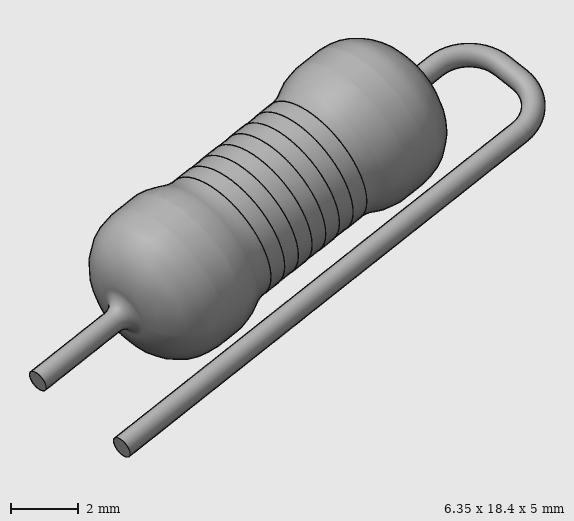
import cadquery as cq
import math


body_length = 12.0
cap_diameter = 5.0
waist_diameter = 4.25
waist_length = 4.0
cap_end_round = 1.75
shoulder_round = 1.5

band_diameter = 4.27
band_count = 4
band_width = waist_length / (2 * band_count - 1)

wire_diameter = 0.7
neck_fillet = 0.5
wire_pitch = 3.5
bend_radius = 1.4
bend_start_y = 7.0
wire_end_y = -9.6

cap_radius = cap_diameter / 2
waist_radius = waist_diameter / 2
wire_radius = wire_diameter / 2
half_length = body_length / 2
half_waist = waist_length / 2


def point_on_circle(center, radius, angle):
    """Point at an angle in radians, measured from the radial direction towards +Y."""
    return (center[0] + radius * math.cos(angle), center[1] + radius * math.sin(angle))


def make_cylinder(diameter, start_y, length):
    """Round bar on the body axis, running towards +Y from start_y."""
    return cq.Workplane("XZ", origin=(0, start_y, 0)).circle(diameter / 2).extrude(-length)


def make_end_cap():
    """Revolve the +Y end of the body, from the waist to the neck around the wire."""
    shoulder_angle = math.acos(1 - (cap_radius - waist_radius) / (2 * shoulder_round))
    shoulder_length = 2 * shoulder_round * math.sin(shoulder_angle)
    cap_start_y = half_waist + shoulder_length
    waist_arc_center = (waist_radius + shoulder_round, half_waist)
    cap_arc_center = (cap_radius - shoulder_round, cap_start_y)
    shoulder_middle = point_on_circle(cap_arc_center, shoulder_round, -shoulder_angle)

    end_arc_center = (cap_radius - cap_end_round, half_length - cap_end_round)
    neck_center_radius = wire_radius + neck_fillet
    center_distance = cap_end_round + neck_fillet
    neck_angle = math.acos((neck_center_radius - end_arc_center[0]) / center_distance)
    neck_center = point_on_circle(end_arc_center, center_distance, neck_angle)
    neck_foot = point_on_circle(end_arc_center, cap_end_round, neck_angle)
    neck_middle_angle = math.pi + neck_angle / 2

    profile = (
        cq.Workplane("XY")
        .moveTo(0, half_waist)
        .lineTo(waist_radius, half_waist)
        .threePointArc(
            point_on_circle(waist_arc_center, shoulder_round, math.pi - shoulder_angle / 2),
            shoulder_middle,
        )
        .threePointArc(
            point_on_circle(cap_arc_center, shoulder_round, -shoulder_angle / 2),
            (cap_radius, cap_start_y),
        )
        .lineTo(cap_radius, end_arc_center[1])
        .threePointArc(
            point_on_circle(end_arc_center, cap_end_round, neck_angle / 2),
            neck_foot,
        )
        .threePointArc(
            point_on_circle(neck_center, neck_fillet, neck_middle_angle),
            (wire_radius, neck_center[1]),
        )
        .lineTo(0, neck_center[1])
        .close()
    )
    return profile.revolve(360, (0, 0, 0), (0, 1, 0))


def add_bands(body):
    """Add the slightly raised rings around the waist."""
    for index in range(band_count):
        start_y = -half_waist + 2 * index * band_width
        body = body.union(make_cylinder(band_diameter, start_y, band_width))
    return body


def make_wire():
    """One wire through the body, turned back at +Y to run beside it."""
    bend_offset = bend_radius * math.sqrt(0.5)
    bend_top_y = bend_start_y + bend_radius
    second_bend_x = wire_pitch - bend_radius
    path = (
        cq.Workplane("XY")
        .moveTo(0, wire_end_y)
        .lineTo(0, bend_start_y)
        .threePointArc(
            (bend_radius - bend_offset, bend_start_y + bend_offset),
            (bend_radius, bend_top_y),
        )
        .lineTo(second_bend_x, bend_top_y)
        .threePointArc(
            (second_bend_x + bend_offset, bend_start_y + bend_offset),
            (wire_pitch, bend_start_y),
        )
        .lineTo(wire_pitch, wire_end_y)
    )
    return cq.Workplane("XZ", origin=(0, wire_end_y, 0)).circle(wire_radius).sweep(path)


end_cap = make_end_cap()
waist = make_cylinder(waist_diameter, -half_waist, waist_length)
body = waist.union(end_cap).union(end_cap.mirror("XZ"))
result = cq.Workplane(add_bands(body).union(make_wire()).solids().val())